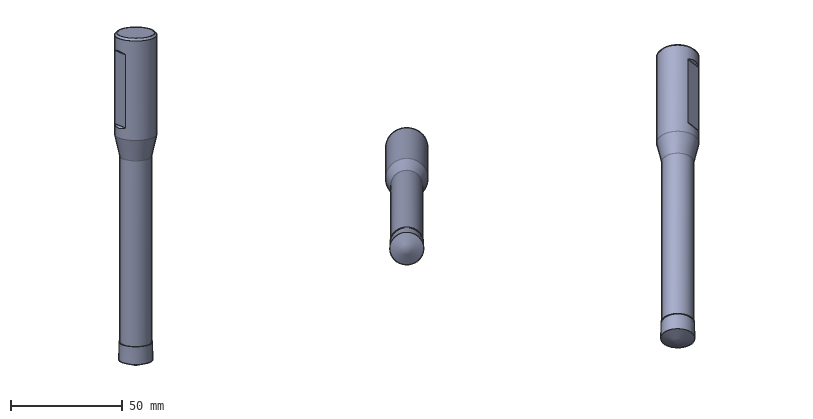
import cadquery as cq
import math

TOTAL_LENGTH = 156.5

TIP_RADIUS = 7.7
TIP_BACK_DIAMETER = 15.2
TIP_BACK_RADIUS = TIP_BACK_DIAMETER / 2
TIP_TOP_Z = 11.1
POINT_ANGLE = 140.0
POINT_HEIGHT = TIP_RADIUS / math.tan(math.radians(POINT_ANGLE / 2))

STEM_RADIUS = 14.4 / 2
SHANK_RADIUS = 19.1 / 2
SHANK_LENGTH = 47.7
NECK_LENGTH = 10.3
SHANK_CHAMFER = 1.0
SHANK_BOTTOM_Z = TOTAL_LENGTH - SHANK_LENGTH
NECK_BOTTOM_Z = SHANK_BOTTOM_Z - NECK_LENGTH

FLAT_DEPTH = 1.0
FLAT_LENGTH = 36.3
FLAT_TOP_GAP = 6.9
FLAT_TOP_Z = TOTAL_LENGTH - FLAT_TOP_GAP
FLAT_BOTTOM_Z = FLAT_TOP_Z - FLAT_LENGTH


def revolve_about_z(profile):
    """Revolve a profile drawn as (radius, z) points a full turn about Z."""
    return cq.Workplane("XZ").polyline(profile).close().revolve(360, (0, 0, 0), (0, 1, 0))


def make_tip():
    """Slightly back-tapered drill tip with a conical point."""
    return revolve_about_z([
        (0, 0),
        (TIP_RADIUS, POINT_HEIGHT),
        (TIP_BACK_RADIUS, TIP_TOP_Z),
        (0, TIP_TOP_Z),
    ])


def make_flat_cutter():
    """Trapezoidal prism that spans the shank and removes the clamping flat."""
    surface_y = -SHANK_RADIUS
    floor_y = surface_y + FLAT_DEPTH
    return (
        cq.Workplane("YZ")
        .polyline([
            (surface_y, FLAT_BOTTOM_Z),
            (floor_y, FLAT_BOTTOM_Z + FLAT_DEPTH),
            (floor_y, FLAT_TOP_Z - FLAT_DEPTH),
            (surface_y, FLAT_TOP_Z),
        ])
        .close()
        .extrude(SHANK_RADIUS, both=True)
    )


def make_holder():
    """Stem, neck and chamfered shank in one piece, with the clamping flat."""
    blank = revolve_about_z([
        (0, TIP_TOP_Z),
        (STEM_RADIUS, TIP_TOP_Z),
        (STEM_RADIUS, NECK_BOTTOM_Z),
        (SHANK_RADIUS, SHANK_BOTTOM_Z),
        (SHANK_RADIUS, TOTAL_LENGTH - SHANK_CHAMFER),
        (SHANK_RADIUS - SHANK_CHAMFER, TOTAL_LENGTH),
        (0, TOTAL_LENGTH),
    ])
    return blank.cut(make_flat_cutter())


tip = make_tip()
holder = make_holder()

result = cq.Compound.makeCompound([tip.val(), holder.val()])